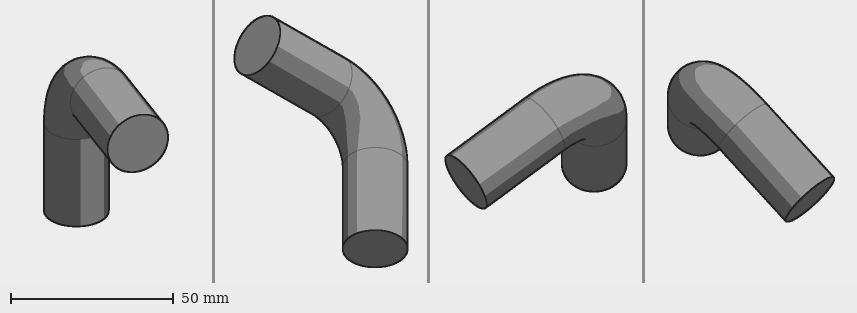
import cadquery as cq

overall_length = 61.0
rod_diameter = 20.0
bend_radius = 20.0

rod_radius = rod_diameter / 2
leg_length = overall_length - rod_radius - bend_radius


def vertical_leg():
    """Straight leg along Z, from the lower end up to the start of the bend."""
    return cq.Workplane("XY").circle(rod_radius).extrude(leg_length)


def quarter_bend():
    """Quarter torus that turns the rod from +Z to +X."""
    return (
        cq.Workplane("XY", origin=(0, 0, leg_length))
        .circle(rod_radius)
        .revolve(90, (bend_radius, 0, 0), (bend_radius, 1, 0))
    )


def horizontal_leg():
    """Straight leg along X, from the end of the bend outwards."""
    return (
        cq.Workplane("YZ", origin=(bend_radius, 0, leg_length + bend_radius))
        .circle(rod_radius)
        .extrude(leg_length)
    )


result = vertical_leg().union(quarter_bend()).union(horizontal_leg())